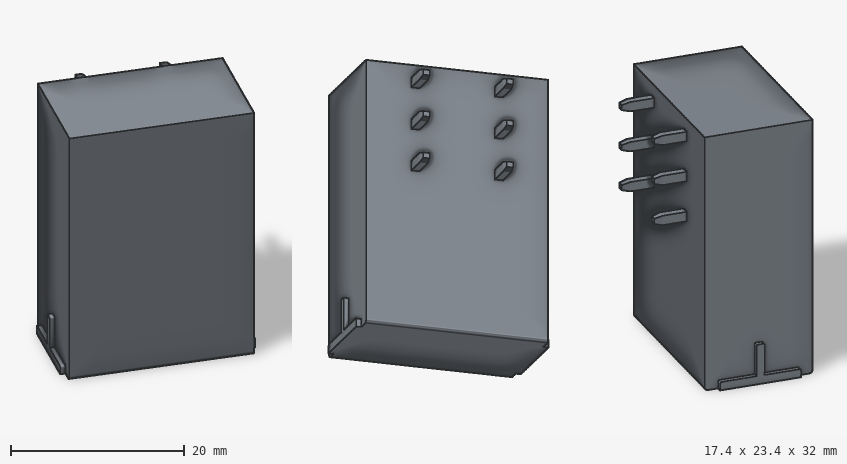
import cadquery as cq

HOUSING_DEPTH = 13.4
HOUSING_WIDTH = 22.1
WIDTH_OVER_RIBS = 23.35
HOUSING_HEIGHT = 32.0
BOTTOM_RADIUS = 0.48

PIN_LENGTH = 4.0
PIN_WIDTH = 1.0
PIN_HEIGHT = 1.2
PIN_TIP_LENGTH = 1.0
PIN_TIP_WIDTH = 0.77
PIN_TIP_HEIGHT = 0.65
PIN_ROW_COUNT = 3
PIN_ROW_PITCH = 5.05
PIN_COLUMN_SPACING = 10.15
TOP_PIN_DROP = 2.18

RIB_STEM_WIDTH = 1.0
RIB_BASE_HEIGHT = 1.05
RIB_BASE_LENGTH = 10.05
RIB_STEM_TOP = 5.02
RIB_CORNER_RADIUS = 0.25
STEM_CORNER_RADIUS = 0.2


def make_housing():
    """Plain block with its two bottom edges along Y rounded."""
    block = cq.Workplane("XY").box(
        HOUSING_DEPTH, HOUSING_WIDTH, HOUSING_HEIGHT, centered=(False, True, False)
    )
    return block.edges("|Y and <Z").fillet(BOTTOM_RADIUS)


def make_pin(y, z):
    """Rectangular pin pointing to -X, ending in a tapered tip."""
    shank_end = PIN_TIP_LENGTH - PIN_LENGTH
    shank = (
        cq.Workplane("YZ", origin=(shank_end, y, z))
        .rect(PIN_WIDTH, PIN_HEIGHT)
        .extrude(-shank_end)
    )
    tip = (
        cq.Workplane("YZ", origin=(-PIN_LENGTH, y, z))
        .rect(PIN_TIP_WIDTH, PIN_TIP_HEIGHT)
        .workplane(offset=PIN_TIP_LENGTH)
        .rect(PIN_WIDTH, PIN_HEIGHT)
        .loft(ruled=True)
    )
    return shank.union(tip)


def make_rib_pair():
    """Inverted-T bars running through the housing, so one rib stands out of each side."""
    upright = (False, True, False)
    middle = HOUSING_DEPTH / 2
    base = (
        cq.Workplane("XY", origin=(middle - RIB_BASE_LENGTH / 2, 0, 0))
        .box(RIB_BASE_LENGTH, WIDTH_OVER_RIBS, RIB_BASE_HEIGHT, centered=upright)
        .edges("|Y and >Z")
        .fillet(RIB_CORNER_RADIUS)
    )
    stem = (
        cq.Workplane("XY", origin=(middle - RIB_STEM_WIDTH / 2, 0, 0))
        .box(RIB_STEM_WIDTH, WIDTH_OVER_RIBS, RIB_STEM_TOP, centered=upright)
        .edges("|Y and >Z")
        .fillet(STEM_CORNER_RADIUS)
    )
    return base.union(stem)


def make_pins():
    """Grid of pins on the X = 0 face, symmetric about Y = 0."""
    pins = cq.Workplane("XY")
    for row in range(PIN_ROW_COUNT):
        pin_z = HOUSING_HEIGHT - TOP_PIN_DROP - row * PIN_ROW_PITCH
        for side in (-1, 1):
            pins = pins.add(make_pin(side * PIN_COLUMN_SPACING / 2, pin_z))
    return pins.combine()


result = make_housing().union(make_rib_pair()).union(make_pins())